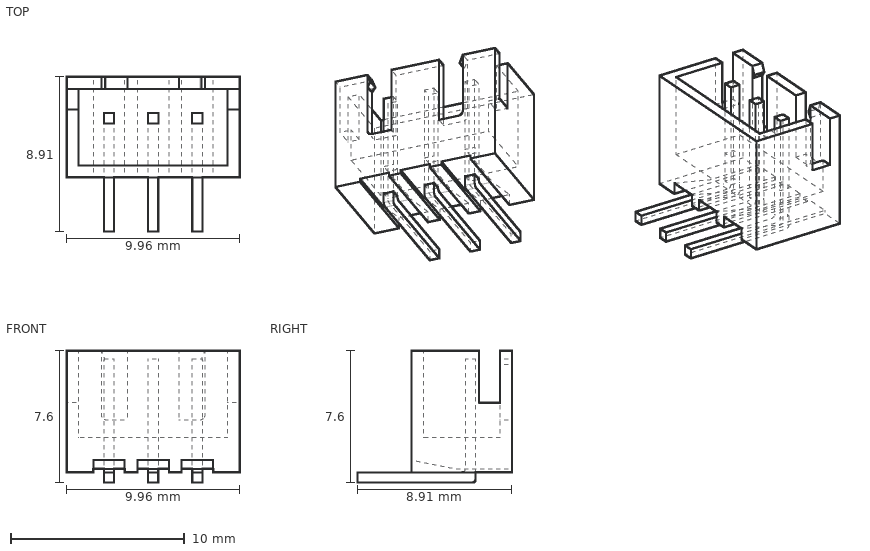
import cadquery as cq

HOUSING_WIDTH = 9.96
HOUSING_DEPTH = 5.8
HOUSING_HEIGHT = 7.0
WALL = 0.7
FLOOR_TOP = 1.99

END_SLOT_WIDTH = 1.2
END_SLOT_DEPTH = 3.0
BACK_SLOT_INNER_X = 1.48
BACK_SLOT_OUTER_X = 2.98
BACK_SLOT_DEPTH = 3.99
BACK_SLOT_RADIUS = 0.3

BUMP_REACH = 0.2
BUMP_LEAD_IN = 0.5
BUMP_RETURN = 0.3

RECESS_WIDTH = 1.8
RECESS_HEIGHT = 0.2
RECESS_MOUTH_HEIGHT = 0.7
RECESS_SLOPE_LENGTH = 2.5

PIN_COUNT = 3
PIN_PITCH = 2.54
PIN_SIZE = 0.6
PIN_FRONT_Y = 3.11
PIN_TOP_DROP = 0.5
PIN_REACH = 3.11
BEND_RADIUS = 0.2

CAVITY_WIDTH = HOUSING_WIDTH - 2 * WALL
BACK_WALL_Y = HOUSING_DEPTH - WALL
BACK_SLOT_BOTTOM = HOUSING_HEIGHT - BACK_SLOT_DEPTH
PIN_TOP = HOUSING_HEIGHT - PIN_TOP_DROP
PIN_BACK_Y = PIN_FRONT_Y + PIN_SIZE
PIN_XS = [(i - (PIN_COUNT - 1) / 2) * PIN_PITCH for i in range(PIN_COUNT)]


def centred_box(width, y_min, y_max, z_min, z_max):
    """Box centred on X = 0, between the given Y and Z limits."""
    corner = cq.Vector(-width / 2, y_min, z_min)
    return cq.Workplane(cq.Solid.makeBox(width, y_max - y_min, z_max - z_min, corner))


def side_prism(outline, x, width):
    """(Y, Z) outline extruded along X, centred on x."""
    return cq.Workplane("YZ", origin=(x - width / 2, 0, 0)).polyline(outline).close().extrude(width)


def back_plane():
    """XZ workplane on the back face; extruding from it goes forward into the back wall."""
    return cq.Workplane("XZ", origin=(0, HOUSING_DEPTH, 0))


def make_back_slot():
    """Cutter for the right back slot, with its outer bottom corner rounded."""
    return (
        back_plane()
        .moveTo(BACK_SLOT_INNER_X, HOUSING_HEIGHT)
        .lineTo(BACK_SLOT_INNER_X, BACK_SLOT_BOTTOM)
        .lineTo(BACK_SLOT_OUTER_X - BACK_SLOT_RADIUS, BACK_SLOT_BOTTOM)
        .radiusArc((BACK_SLOT_OUTER_X, BACK_SLOT_BOTTOM + BACK_SLOT_RADIUS), -BACK_SLOT_RADIUS)
        .lineTo(BACK_SLOT_OUTER_X, HOUSING_HEIGHT)
        .close()
        .extrude(WALL)
    )


def make_recess(x):
    """Cutter for the recess around one pin: low at the back, its roof rising to the front face."""
    outline = [
        (0, 0),
        (0, RECESS_MOUTH_HEIGHT),
        (RECESS_SLOPE_LENGTH, RECESS_HEIGHT),
        (HOUSING_DEPTH, RECESS_HEIGHT),
        (HOUSING_DEPTH, 0),
    ]
    return side_prism(outline, x, RECESS_WIDTH)


def make_pin(x):
    """Bent wire: upright leg through the floor, then forward under the housing."""
    outline = [
        (PIN_BACK_Y, PIN_TOP),
        (PIN_FRONT_Y, PIN_TOP),
        (PIN_FRONT_Y, 0),
        (-PIN_REACH, 0),
        (-PIN_REACH, -PIN_SIZE),
        (PIN_BACK_Y, -PIN_SIZE),
    ]
    inner_corner = cq.selectors.NearestToPointSelector((x, PIN_FRONT_Y, 0))
    outer_corner = cq.selectors.NearestToPointSelector((x, PIN_BACK_Y, -PIN_SIZE))
    pin = side_prism(outline, x, PIN_SIZE)
    pin = pin.edges("|X").edges(inner_corner).fillet(BEND_RADIUS)
    return pin.edges("|X").edges(outer_corner).fillet(BEND_RADIUS)


def make_latch_bump(side):
    """Triangular bar on the outer side of a back slot; side is -1 for left, 1 for right."""
    outline = [
        (side * BACK_SLOT_OUTER_X, HOUSING_HEIGHT),
        (side * (BACK_SLOT_OUTER_X - BUMP_REACH), HOUSING_HEIGHT - BUMP_LEAD_IN),
        (side * BACK_SLOT_OUTER_X, HOUSING_HEIGHT - BUMP_LEAD_IN - BUMP_RETURN),
    ]
    return back_plane().polyline(outline).close().extrude(WALL)


def make_housing(pins):
    """Slotted box with a recess and a fitting hole for each pin."""
    housing = centred_box(HOUSING_WIDTH, 0, HOUSING_DEPTH, 0, HOUSING_HEIGHT)
    cavity = centred_box(CAVITY_WIDTH, WALL, BACK_WALL_Y, FLOOR_TOP, HOUSING_HEIGHT)
    end_slots = centred_box(
        HOUSING_WIDTH,
        BACK_WALL_Y - END_SLOT_WIDTH,
        BACK_WALL_Y,
        HOUSING_HEIGHT - END_SLOT_DEPTH,
        HOUSING_HEIGHT,
    )
    back_slot = make_back_slot()
    housing = housing.cut(cavity).cut(end_slots).cut(back_slot).cut(back_slot.mirror("YZ"))
    for x in PIN_XS:
        housing = housing.cut(make_recess(x))
    for pin in pins:
        housing = housing.cut(pin)
    return housing


pins = [make_pin(x) for x in PIN_XS]
latch_bumps = [make_latch_bump(side) for side in (-1, 1)]
housing = make_housing(pins)

bodies = [housing, *pins, *latch_bumps]
result = cq.Compound.makeCompound([body.solids().val() for body in bodies])